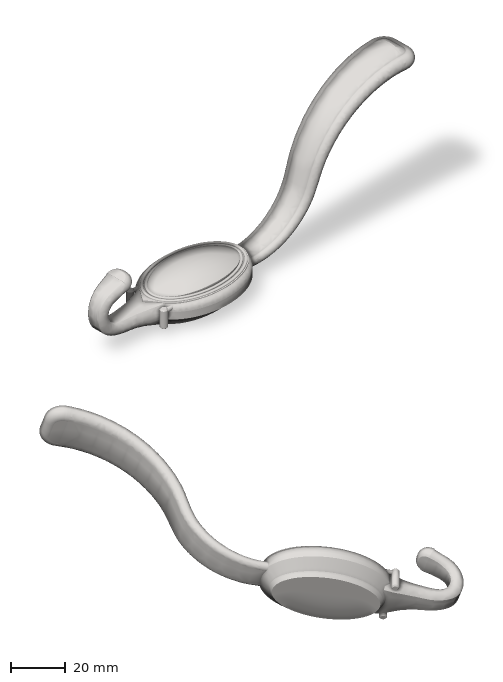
import cadquery as cq
import math


OVAL = (17.0, 24.9)
FOOT = (11.5, 20.2)
FOOT_TOP = (12.6, 21.3)
FOOT_HEIGHT = 1.9
WALL_BOTTOM = 5.3
OVAL_TOP = 11.5
OVAL_ROUND = 3.0

BEZEL = (15.0, 23.8)
BEZEL_DEPTH = 2.0
BEZEL_BOTTOM = OVAL_TOP - BEZEL_DEPTH
BEZEL_TOP = 11.7
BEZEL_POINT_Y = -26.0
BEZEL_POINT_HALF_WIDTH = 5.0
BEAD_WIDTH = 1.2
BEAD_HEIGHT = 0.6
BEAD_ROUND = 0.4
BEAD_INSETS = (0.4, 2.1)

DOME = (11.5, 20.7)
DOME_SEAT = 11.0
DOME_PEAK = 16.0
DOME_DROP_X = 3.1
DOME_DROP_Y = 4.0

HANDLE_START_Y = 25.8
HANDLE_START_Z = 7.06
HANDLE_RADIUS_LOW = 30.0
HANDLE_RADIUS_HIGH = 46.4
HANDLE_TURN = 73.0
HANDLE_STEPS = (6, 9)
HANDLE_OVERLAP = 4.0
HANDLE_HALF_WIDTH = (6.1, 10.0)
HANDLE_THICKNESS = (4.6, 7.9)
HANDLE_SIDE_REACH = 0.35
HANDLE_CROWN = 0.25
HANDLE_TIP_RADIUS = 6.9
HANDLE_TIP_STRAIGHT = 1.1

HOOK_SIDE_REACH = 1.5
STEM_STATIONS = (
    (-20.0, 6.9, 8.4, 8.6),
    (-23.8, 7.0, 7.5, 8.2),
    (-27.1, 7.2, 6.5, 7.1),
    (-33.8, 7.6, 5.1, 5.9),
)
HOOK_BEND_Y = -40.41
HOOK_BEND_Z = 7.8
HOOK_RADIUS = 8.3
HOOK_BEND_ANGLES = (0, 45, 90, 125, 155)
HOOK_HALF_WIDTHS = (4.5, 4.3, 4.15, 4.4, 4.9)
HOOK_THICKNESSES = (5.4, 5.0, 4.8, 4.8, 4.8)
HOOK_END_LENGTH = 5.7
HOOK_END_HALF_WIDTH = 5.5
HOOK_END_THICKNESS = 5.0
HOOK_TIP_RADIUS = 4.7

PEG_X = 8.7
PEG_Y = -23.8
PEG_RADIUS = 1.5
PEG_BOTTOM = 2.8
PEG_TOP = 11.3
PEG_CHAMFER = 0.5
ARM_RADIUS = 0.9
ARM_LENGTH = 6.0


def oval(half_axes, bottom, height):
    return cq.Workplane("XY", origin=(0, 0, bottom)).ellipse(*half_axes).extrude(height)


def oval_loft(lower, upper, bottom, height):
    base = cq.Workplane("XY", origin=(0, 0, bottom)).ellipse(*lower)
    return base.workplane(offset=height).ellipse(*upper).loft(ruled=True)


def inset(half_axes, distance):
    return tuple(axis - distance for axis in half_axes)


def crown_drop(x, half_width, crown):
    """How far a crown arc of the given half width and rise has fallen at x from its middle."""
    radius = (half_width**2 + crown**2) / (2 * crown)
    return radius - math.sqrt(radius**2 - x**2)


def bar_plane(y, z, angle, side):
    """Plane across a bar; the bar leaves along side*Y at angle 0 and turns towards +Z."""
    turn = math.radians(angle)
    direction = (0, side * math.cos(turn), math.sin(turn))
    return cq.Plane(origin=(0, y, z), xDir=(-side, 0, 0), normal=direction)


def bar_section(plane, half_width, thickness, reach, crown):
    """Flat-bottomed section with arched sides and a flat or crowned top."""
    flat = half_width - reach
    low = -thickness / 2
    shoulder = thickness / 2 - crown
    middle = (low + shoulder) / 2
    sketch = cq.Workplane(plane).moveTo(-flat, low).lineTo(flat, low)
    sketch = sketch.threePointArc((half_width, middle), (flat, shoulder))
    if crown:
        sketch = sketch.threePointArc((0, thickness / 2), (-flat, shoulder))
    else:
        sketch = sketch.lineTo(-flat, shoulder)
    return sketch.threePointArc((-half_width, middle), (-flat, low)).close().wire().val()


def bar_tip(plane, half_width, thickness, reach, crown, radius):
    """Rounded end: the side profile swept round both corners and straight between them."""
    axis = half_width - radius
    flat = half_width - reach - axis
    low = -thickness / 2
    shoulder = thickness / 2 - crown

    def side_profile(profile_plane):
        sketch = cq.Workplane(profile_plane).moveTo(0, low).lineTo(flat, low)
        sketch = sketch.threePointArc((radius, (low + shoulder) / 2), (flat, shoulder))
        if not crown:
            return sketch.lineTo(0, shoulder).close()
        crown_half = half_width - reach
        mid_height = thickness / 2 - crown_drop(axis + flat / 2, crown_half, crown)
        axis_height = thickness / 2 - crown_drop(axis, crown_half, crown)
        return sketch.threePointArc((flat / 2, mid_height), (0, axis_height)).close()

    def lengthwise(x):
        normal = plane.zDir.cross(plane.yDir)
        return cq.Plane(origin=plane.toWorldCoords((x, 0, 0)), xDir=plane.zDir, normal=normal)

    tip = side_profile(lengthwise(0)).extrude(axis, both=True)
    for side in (-1, 1):
        tip = tip.union(side_profile(lengthwise(side * axis)).revolve(90, (0, 0), (0, side)))
    return tip


def build_oval():
    foot = oval_loft(FOOT, FOOT_TOP, 0, FOOT_HEIGHT)
    flare = oval_loft(FOOT_TOP, OVAL, FOOT_HEIGHT, WALL_BOTTOM - FOOT_HEIGHT)
    wall = oval(OVAL, WALL_BOTTOM, OVAL_TOP - WALL_BOTTOM).faces(">Z").edges().fillet(OVAL_ROUND)
    return foot.union(flare).union(wall)


def build_bezel():
    height = BEZEL_TOP - BEZEL_BOTTOM
    plate = oval(BEZEL, BEZEL_BOTTOM, height)
    root_y = -BEZEL[1] * math.sqrt(1 - (BEZEL_POINT_HALF_WIDTH / BEZEL[0]) ** 2)
    point = (
        cq.Workplane("XY", origin=(0, 0, BEZEL_BOTTOM))
        .moveTo(-BEZEL_POINT_HALF_WIDTH, root_y)
        .lineTo(0, BEZEL_POINT_Y)
        .lineTo(BEZEL_POINT_HALF_WIDTH, root_y)
        .close()
        .extrude(height)
    )
    bezel = plate.union(point)
    for distance in BEAD_INSETS:
        outer = inset(BEZEL, distance)
        bead_height = height + BEAD_HEIGHT
        ring = oval(outer, BEZEL_BOTTOM, bead_height)
        ring = ring.cut(oval(inset(outer, BEAD_WIDTH), BEZEL_BOTTOM, bead_height))
        bezel = bezel.union(ring.faces(">Z").edges().fillet(BEAD_ROUND))
    return bezel


def build_handle():
    turn = math.radians(HANDLE_TURN)
    total = HANDLE_RADIUS_LOW + HANDLE_RADIUS_HIGH
    end_y = HANDLE_START_Y + total * math.sin(turn)
    end_z = HANDLE_START_Z + total * (1 - math.cos(turn))
    low_share = HANDLE_RADIUS_LOW / total

    def size(share):
        half_width = HANDLE_HALF_WIDTH[0] + share * (HANDLE_HALF_WIDTH[1] - HANDLE_HALF_WIDTH[0])
        thickness = HANDLE_THICKNESS[0] + share * (HANDLE_THICKNESS[1] - HANDLE_THICKNESS[0])
        return half_width, thickness, HANDLE_SIDE_REACH * half_width, HANDLE_CROWN * thickness

    sections = []
    for step in range(HANDLE_STEPS[0] + 1):
        part = step / HANDLE_STEPS[0]
        y = HANDLE_START_Y + HANDLE_RADIUS_LOW * math.sin(part * turn)
        z = HANDLE_START_Z + HANDLE_RADIUS_LOW * (1 - math.cos(part * turn))
        sections.append(bar_section(bar_plane(y, z, part * HANDLE_TURN, 1), *size(part * low_share)))
    for step in range(1, HANDLE_STEPS[1] + 1):
        part = step / HANDLE_STEPS[1]
        left = (1 - part) * turn
        y = end_y - HANDLE_RADIUS_HIGH * math.sin(left)
        z = end_z - HANDLE_RADIUS_HIGH * (1 - math.cos(left))
        share = low_share + part * (1 - low_share)
        sections.append(bar_section(bar_plane(y, z, math.degrees(left), 1), *size(share)))

    handle = cq.Workplane().add(cq.Solid.makeLoft(sections))
    root = cq.Workplane().add(cq.Solid.extrudeLinear(sections[0], [], cq.Vector(0, -HANDLE_OVERLAP, 0)))
    neck = cq.Workplane().add(cq.Solid.extrudeLinear(sections[-1], [], cq.Vector(0, HANDLE_TIP_STRAIGHT, 0)))
    tip_plane = bar_plane(end_y + HANDLE_TIP_STRAIGHT, end_z, 0, 1)
    tip = bar_tip(tip_plane, *size(1), HANDLE_TIP_RADIUS)
    return handle.union(root).union(neck).union(tip)


def build_hook():
    sections = []
    for y, z, half_width, thickness in STEM_STATIONS:
        sections.append(bar_section(bar_plane(y, z, 0, -1), half_width, thickness, HOOK_SIDE_REACH, 0))
    for angle, half_width, thickness in zip(HOOK_BEND_ANGLES, HOOK_HALF_WIDTHS, HOOK_THICKNESSES):
        turn = math.radians(angle)
        y = HOOK_BEND_Y - HOOK_RADIUS * math.sin(turn)
        z = HOOK_BEND_Z + HOOK_RADIUS * (1 - math.cos(turn))
        sections.append(bar_section(bar_plane(y, z, angle, -1), half_width, thickness, HOOK_SIDE_REACH, 0))
    end_y = y - HOOK_END_LENGTH * math.cos(turn)
    end_z = z + HOOK_END_LENGTH * math.sin(turn)
    end_plane = bar_plane(end_y, end_z, angle, -1)
    end_size = (HOOK_END_HALF_WIDTH, HOOK_END_THICKNESS, HOOK_SIDE_REACH, 0)
    sections.append(bar_section(end_plane, *end_size))
    hook = cq.Workplane().add(cq.Solid.makeLoft(sections))
    return bar_tip(end_plane, *end_size, HOOK_TIP_RADIUS).union(hook)


def build_peg(x):
    peg = cq.Workplane("XY", origin=(x, PEG_Y, PEG_BOTTOM)).circle(PEG_RADIUS).extrude(PEG_TOP - PEG_BOTTOM)
    peg = peg.faces("<Z or >Z").chamfer(PEG_CHAMFER)
    arm_z = PEG_TOP - PEG_CHAMFER - ARM_RADIUS
    arm = cq.Workplane("XZ", origin=(x, PEG_Y, arm_z)).circle(ARM_RADIUS).extrude(-ARM_LENGTH)
    return peg.union(arm)


def build_dome():
    """Oval column topped by a surface curved more tightly across than along."""
    radius_x = (DOME[0] ** 2 + DOME_DROP_X**2) / (2 * DOME_DROP_X)
    axis_z = DOME_PEAK - radius_x
    end_z = DOME_PEAK - DOME_DROP_Y
    crown = (
        cq.Workplane("YZ")
        .moveTo(-DOME[1], axis_z)
        .lineTo(-DOME[1], end_z)
        .threePointArc((0, DOME_PEAK), (DOME[1], end_z))
        .lineTo(DOME[1], axis_z)
        .close()
        .revolve(360, (0, axis_z), (1, axis_z))
    )
    return oval(DOME, DOME_SEAT, DOME_PEAK - DOME_SEAT).intersect(crown)


dome = build_dome()
housing = build_oval().union(build_handle()).union(build_hook()).union(build_bezel())
for peg_x in (-PEG_X, PEG_X):
    housing = housing.union(build_peg(peg_x))
housing = housing.cut(oval(DOME, DOME_SEAT, DOME_PEAK - DOME_SEAT))

result = cq.Compound.makeCompound([housing.solids().val(), dome.solids().val()])